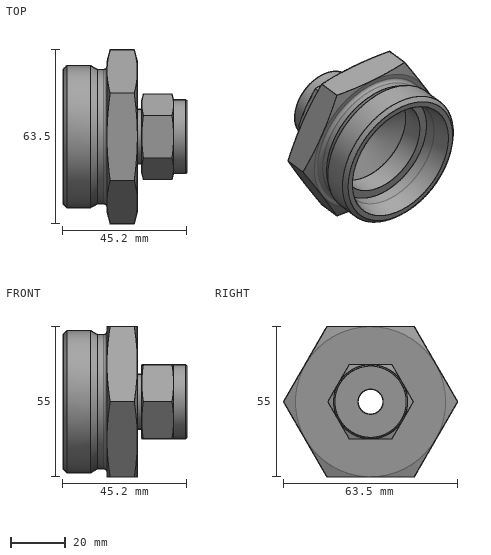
import cadquery as cq
import math

overall_length = 45.2

thread_radius = 26.0
groove_radius = 24.5
thread_chamfer = thread_radius - groove_radius
thread_end = 10.0
groove_slope_angle = 30
groove_fillet = 1.3

body_hex_corners = 63.5
body_hex_start = 16.0
body_hex_length = 11.1
body_hex_end = body_hex_start + body_hex_length
body_hex_face_radius = 27.4

neck_radius = 10.05
nut_flats = 27.0
nut_corners = nut_flats / math.cos(math.pi / 6)
nut_start = 28.6
nut_hex_end = 40.25
nut_collar_radius = nut_flats / 2
nut_front_face_radius = 12.95
nut_end_chamfer = 0.5

hex_chamfer_angle = 15

mouth_radius = 22.5
socket_radius = 21.1
socket_taper_angle = 12
socket_depth = 11.0
tube_bore_radius = 18.0
tube_bore_end = 19.2
passage_radius = 4.5
drill_point_angle = 120


def revolve_about_x(profile):
    """Turn an (x, radius) profile in the XY plane around the X axis."""
    return profile.close().revolve(360, (0, 0, 0), (1, 0, 0))


def chamfered_hexagon(start, end, corners, start_face_radius, end_face_radius):
    """Hexagonal prism along X, corners on the Y axis, with conically turned-off ends."""
    prism = cq.Workplane("YZ", origin=(start, 0, 0)).polygon(6, corners).extrude(end - start)
    corner_radius = corners / 2
    slope = math.tan(math.radians(hex_chamfer_angle))
    start_chamfer = slope * (corner_radius - start_face_radius)
    end_chamfer = slope * (corner_radius - end_face_radius)
    envelope = revolve_about_x(
        cq.Workplane("XY")
        .moveTo(start, 0)
        .lineTo(start, start_face_radius)
        .lineTo(start + start_chamfer, corner_radius)
        .lineTo(end - end_chamfer, corner_radius)
        .lineTo(end, end_face_radius)
        .lineTo(end, 0)
    )
    return prism.intersect(envelope)


def threaded_end():
    """Chamfered thread cylinder with a sloped run-out groove, filleted into the hexagon."""
    slope_length = (thread_radius - groove_radius) / math.tan(math.radians(groove_slope_angle))
    return revolve_about_x(
        cq.Workplane("XY")
        .lineTo(0, thread_radius - thread_chamfer)
        .lineTo(thread_chamfer, thread_radius)
        .lineTo(thread_end, thread_radius)
        .lineTo(thread_end + slope_length, groove_radius)
        .lineTo(body_hex_start - groove_fillet, groove_radius)
        .radiusArc((body_hex_start, groove_radius + groove_fillet), -groove_fillet)
        .lineTo(body_hex_start, 0)
    )


def neck_and_nut_collar():
    """Neck running from the large hexagon into the nut, and the nut's round collar."""
    return revolve_about_x(
        cq.Workplane("XY")
        .moveTo(body_hex_end, 0)
        .lineTo(body_hex_end, neck_radius)
        .lineTo(nut_hex_end, neck_radius)
        .lineTo(nut_hex_end, nut_collar_radius)
        .lineTo(overall_length - nut_end_chamfer, nut_collar_radius)
        .lineTo(overall_length, nut_collar_radius - nut_end_chamfer)
        .lineTo(overall_length, 0)
    )


def bore():
    """Tapered socket, stepped tube bore with a conical bottom, and the through passage."""
    taper_length = (mouth_radius - socket_radius) / math.tan(math.radians(socket_taper_angle))
    cone_length = (tube_bore_radius - passage_radius) / math.tan(math.radians(drill_point_angle / 2))
    return revolve_about_x(
        cq.Workplane("XY")
        .lineTo(0, mouth_radius)
        .lineTo(taper_length, socket_radius)
        .lineTo(socket_depth, socket_radius)
        .lineTo(socket_depth, tube_bore_radius)
        .lineTo(tube_bore_end, tube_bore_radius)
        .lineTo(tube_bore_end + cone_length, passage_radius)
        .lineTo(overall_length, passage_radius)
        .lineTo(overall_length, 0)
    )


body_hexagon = chamfered_hexagon(
    body_hex_start, body_hex_end, body_hex_corners, body_hex_face_radius, body_hex_face_radius
)
nut_hexagon = chamfered_hexagon(
    nut_start, nut_hex_end, nut_corners, nut_front_face_radius, nut_collar_radius
)

result = (
    threaded_end()
    .union(body_hexagon)
    .union(neck_and_nut_collar())
    .union(nut_hexagon)
    .cut(bore())
)